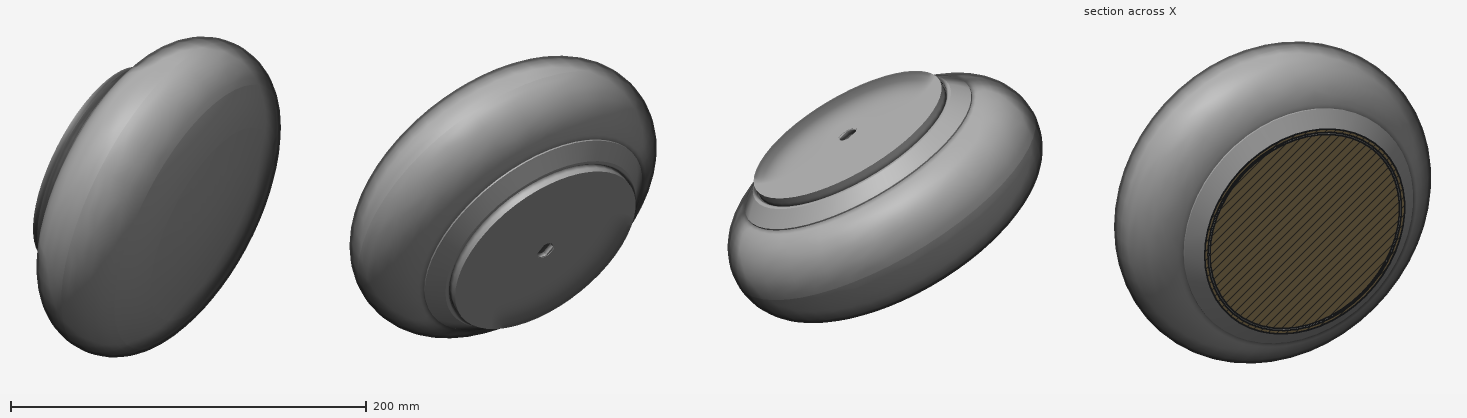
import cadquery as cq
import math

total_length = 86.2

disc_radius = 60.3
cover_thickness = 2.0
plate_thickness = 3.0

hole_radius = 5.2
hole_flat_width = 8.1
hole_turn = -45.0
hole_depth = 2.9
recess_radius = 6.0
recess_depth = 0.2

hub_small_radius = 63.5
hub_large_radius = 72.6
cone_length = 7.3
groove_width = 1.0
groove_depth = 0.8

shoulder_radius = 32.3
bellows_radius = 96.5
shoulder_centre_x = 44.5
blend_start_x = 71.0
blend_radius = 59.9

shoulder_centre_radius = bellows_radius - shoulder_radius
shoulder_start_angle = math.pi - math.asin((hub_large_radius - shoulder_centre_radius) / shoulder_radius)

plate_x = cover_thickness
hub_x = plate_x + plate_thickness
rim_x = hub_x + cone_length
bellows_x = shoulder_centre_x + shoulder_radius * math.cos(shoulder_start_angle)


def disc(start_x, thickness, radius):
    """Disc on the X axis that starts at start_x."""
    return cq.Workplane("YZ", origin=(start_x, 0, 0)).circle(radius).extrude(thickness)


def make_hole():
    """Cutter for the flatted hole, from the cover face into the base plate."""
    flats = cq.Workplane("YZ").rect(2 * hole_radius, hole_flat_width).extrude(hole_depth)
    turned_flats = flats.rotate((0, 0, 0), (1, 0, 0), hole_turn)
    return disc(0, hole_depth, hole_radius).intersect(turned_flats)


def make_cover():
    recess = disc(0, recess_depth, recess_radius)
    return disc(0, cover_thickness, disc_radius).cut(recess).cut(make_hole())


def make_plate():
    return disc(plate_x, plate_thickness, disc_radius).cut(make_hole())


def revolve_about_x(outline):
    """Full turn of a closed (x, radius) outline about the X axis."""
    return outline.close().revolve(360, (0, 0, 0), (1, 0, 0))


def on_arc(centre, radius, angle):
    """Point on an arc, with the angle measured from +X towards the radial direction."""
    return (centre[0] + radius * math.cos(angle), centre[1] + radius * math.sin(angle))


def make_hub():
    """Cone with a narrow rim, and a groove around the foot of the base plate."""
    groove_floor_x = hub_x + groove_depth
    groove_outer_radius = disc_radius + groove_width
    return revolve_about_x(
        cq.Workplane("XY")
        .moveTo(hub_x, 0)
        .lineTo(hub_x, disc_radius)
        .lineTo(groove_floor_x, disc_radius)
        .lineTo(groove_floor_x, groove_outer_radius)
        .lineTo(hub_x, groove_outer_radius)
        .lineTo(hub_x, hub_small_radius)
        .lineTo(rim_x, hub_large_radius)
        .lineTo(bellows_x, hub_large_radius)
        .lineTo(bellows_x, 0)
    )


def make_bellows():
    """Solid bellows bounded by the shoulder, blend and dome arcs."""
    shoulder_centre = (shoulder_centre_x, shoulder_centre_radius)
    crown_angle = math.pi / 2
    blend_angle = math.acos((blend_start_x - shoulder_centre_x) / shoulder_radius)

    blend_centre = on_arc(shoulder_centre, shoulder_radius - blend_radius, blend_angle)

    reach = total_length - blend_radius
    dome_centre_x = (blend_centre[0] ** 2 + blend_centre[1] ** 2 - reach**2) / (2 * (blend_centre[0] - reach))
    dome_radius = total_length - dome_centre_x
    dome_centre = (dome_centre_x, 0)
    dome_angle = math.atan2(blend_centre[1], blend_centre[0] - dome_centre_x)

    outline = cq.Workplane("XY").moveTo(bellows_x, 0).lineTo(bellows_x, hub_large_radius)
    arcs = [
        (shoulder_centre, shoulder_radius, shoulder_start_angle, crown_angle),
        (shoulder_centre, shoulder_radius, crown_angle, blend_angle),
        (blend_centre, blend_radius, blend_angle, dome_angle),
        (dome_centre, dome_radius, dome_angle, 0.0),
    ]
    for centre, radius, first_angle, last_angle in arcs:
        middle = on_arc(centre, radius, (first_angle + last_angle) / 2)
        outline = outline.threePointArc(middle, on_arc(centre, radius, last_angle))
    return revolve_about_x(outline)


cover = make_cover()
plate = make_plate()
hub = make_hub()
bellows = make_bellows()

result = cq.Compound.makeCompound([cover.val(), plate.val(), hub.val(), bellows.val()])